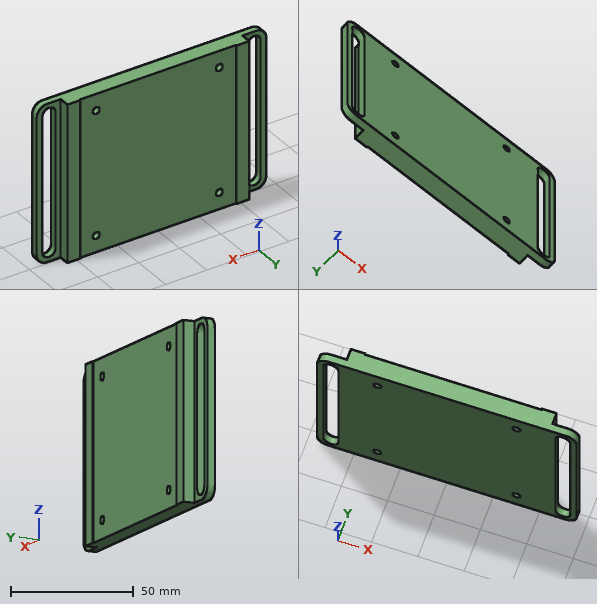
import cadquery as cq

length = 112.0
height = 76.0
flange_thickness = 3.5
corner_radius = 5.0

total_depth = 8.5
block_length = 88.7
recess_length = 76.0
recess_depth = 0.5

slot_spacing = 100.0
slot_width = 6.4
slot_length = 71.6

hole_spacing = 60.0
hole_diameter = 3.2


def slab(x_size, front_y, back_y):
    """Full-height slab centred on X and Z between two Y positions."""
    thickness = back_y - front_y
    middle_y = (front_y + back_y) / 2
    return cq.Workplane("XY").box(x_size, thickness, height).translate((0, middle_y, 0))


def front_sketch_plane():
    """Sketch plane on the front face; a negative extrusion goes into the part."""
    return cq.Workplane("XZ")


flange = slab(length, 0, flange_thickness).edges("|Y").fillet(corner_radius)
block = slab(block_length, 0, total_depth)
body = flange.union(block)

recess = slab(recess_length, total_depth - recess_depth, total_depth)

slots = (
    front_sketch_plane()
    .rarray(slot_spacing, 1.1, 2, 1)
    .slot2D(slot_length, slot_width, 90)
    .extrude(-total_depth)
)

holes = (
    front_sketch_plane()
    .rarray(hole_spacing, hole_spacing, 2, 2)
    .circle(hole_diameter / 2)
    .extrude(-total_depth)
)

result = body.cut(recess).cut(slots).cut(holes)